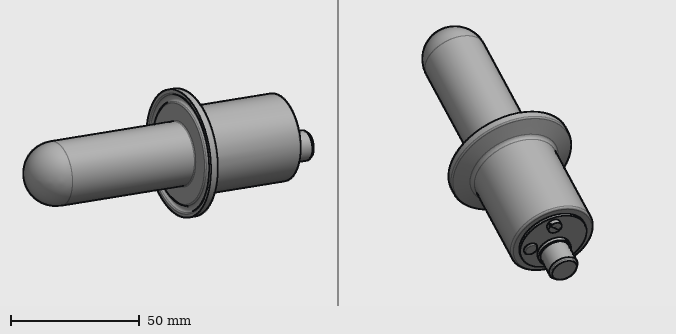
import cadquery as cq
import math

probe_radius = 25.5 / 2
probe_length = 67.8
weld_radius = 0.4

flange_radius = 50.5 / 2
rim_thickness = 3.1
rim_fillet = 0.8
cone_angle = math.radians(20)
neck_fillet = 1.8
groove_mid_radius = 21.8
groove_half_width = 1.4
groove_depth = 1.5
groove_edge_fillet = 0.6

body_radius = 34.6 / 2
body_end = 45.2
body_fillet = 0.9
disc_radius = 27.9 / 2
disc_end = 46.3

connector_z = -5.0
collar_radius = 13.5 / 2
collar_end = 47.8
connector_radius = 12.0 / 2
connector_tip_radius = 10.3 / 2
connector_end = 57.7
connector_chamfer_start = 56.5
connector_tip_start = 57.0

stud_radius = 5.5 / 2
boss_z = 9.9
boss_end = 48.2
cross_hole_radius = 1.0 / 2
cross_hole_y = 47.6
cross_hole_angle = 45
button_x = 9.7
button_height = 0.8
button_fillet = 0.4

match_tolerance = 0.01


def cylinder(radius, start, end, x=0, z=0):
    """Cylinder along +Y between two positions."""
    base = cq.Vector(x, start, z)
    return cq.Workplane(cq.Solid.makeCylinder(radius, end - start, base, cq.Vector(0, 1, 0)))


def revolve_about_y(profile):
    """Close a half profile and turn it around the Y axis."""
    return profile.close().revolve(360, (0, 0, 0), (0, 1, 0))


def make_probe():
    dome_y = probe_radius - probe_length
    dome_offset = probe_radius * math.sqrt(0.5)
    return revolve_about_y(
        cq.Workplane("XY")
        .moveTo(0, -probe_length)
        .threePointArc((dome_offset, dome_y - dome_offset), (probe_radius, dome_y))
        .lineTo(probe_radius, -weld_radius)
        .radiusArc((probe_radius + weld_radius, 0), weld_radius)
        .lineTo(probe_radius + weld_radius, rim_thickness)
        .lineTo(0, rim_thickness)
    )


def round_circle(solid, radius, y, fillet):
    """Fillet the circular edge of the given radius around the Y axis."""
    edges = [
        edge for edge in solid.edges("%CIRCLE").vals()
        if abs(edge.radius() - radius) < match_tolerance
        and abs(edge.Center().y - y) < match_tolerance
    ]
    return solid.newObject(edges).fillet(fillet)


def make_housing():
    cone_end = rim_thickness + (flange_radius - body_radius) * math.tan(cone_angle)
    housing = revolve_about_y(
        cq.Workplane("XY")
        .lineTo(groove_mid_radius - groove_half_width, 0)
        .threePointArc((groove_mid_radius, groove_depth), (groove_mid_radius + groove_half_width, 0))
        .lineTo(flange_radius, 0)
        .lineTo(flange_radius, rim_thickness)
        .lineTo(body_radius, cone_end)
        .lineTo(body_radius, body_end)
        .lineTo(0, body_end)
    )

    housing = round_circle(housing, body_radius, body_end, body_fillet)
    housing = round_circle(housing, body_radius, cone_end, neck_fillet)
    housing = round_circle(housing, flange_radius, rim_thickness, rim_fillet)
    for side in (-1, 1):
        edge_radius = groove_mid_radius + side * groove_half_width
        housing = round_circle(housing, edge_radius, 0, groove_edge_fillet)
    return housing

def make_connector():
    mid_radius = (connector_radius + connector_tip_radius) / 2
    pin = revolve_about_y(
        cq.Workplane("XY")
        .moveTo(0, body_end)
        .lineTo(connector_radius, body_end)
        .lineTo(connector_radius, connector_chamfer_start)
        .lineTo(mid_radius, connector_tip_start)
        .lineTo(connector_tip_radius, connector_end)
        .lineTo(0, connector_end)
    ).translate((0, 0, connector_z))
    return pin.union(cylinder(collar_radius, body_end, collar_end, z=connector_z))


def make_boss():
    boss = cylinder(stud_radius, body_end, boss_end, z=boss_z)
    drill = (
        cq.Workplane("XY")
        .circle(cross_hole_radius)
        .extrude(2 * stud_radius, both=True)
        .rotate((0, 0, 0), (0, 1, 0), cross_hole_angle)
        .translate((0, cross_hole_y, boss_z))
    )
    return boss.cut(drill)


def make_button():
    button = cylinder(stud_radius, body_end, disc_end + button_height, x=button_x)
    return button.faces(">Y").edges().fillet(button_fillet)


end_disc = cylinder(disc_radius, body_end, disc_end)
result = (
    make_housing()
    .union(make_probe())
    .union(end_disc)
    .union(make_connector())
    .union(make_boss())
    .union(make_button())
)